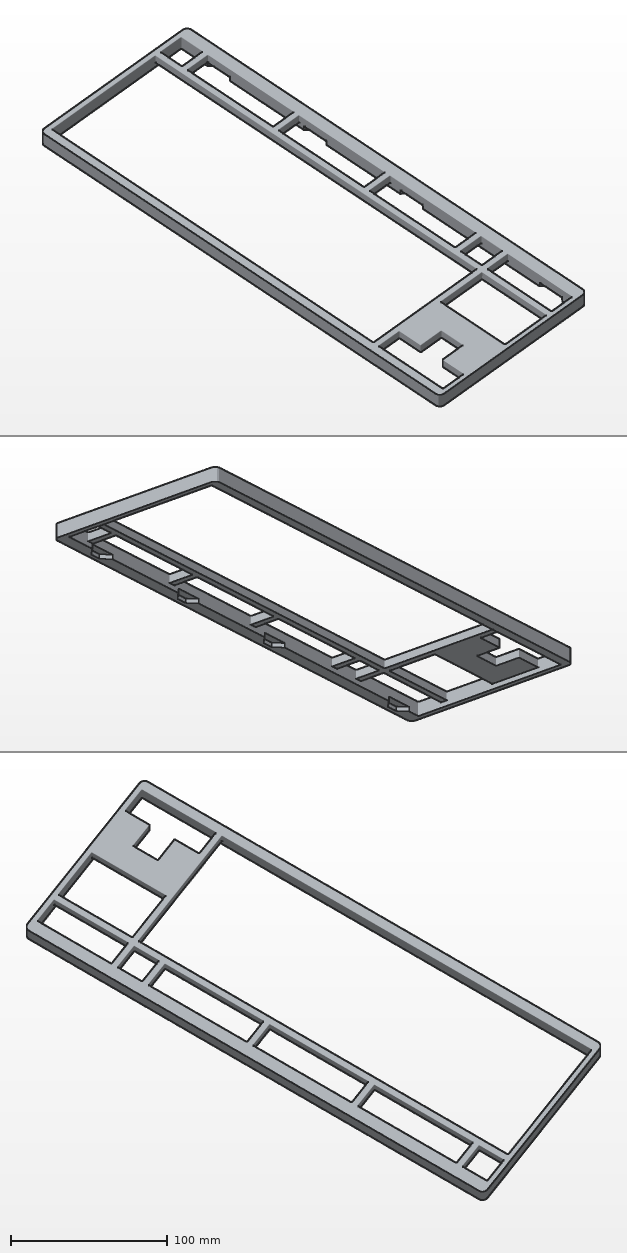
import cadquery as cq

LENGTH = 355.66
WIDTH = 135.38
HEIGHT = 10.4
CORNER_RADIUS = 4.0

KEY = 19.05
BAR = KEY / 4
SIDE_MARGIN = 4.0
FRONT_MARGIN = 6.9
MAIN_COLUMNS = 15
MAIN_ROWS = 5
SIDE_COLUMNS = 3
NAVIGATION_ROWS = 2
FUNCTION_GROUPS = (1, 4, 4, 4, 1, SIDE_COLUMNS)

WINDOW_CORNER_RADIUS = 0.4
TOP_EDGE_RADIUS = 0.5

RECESS_DEPTH = 3.9

NOTCH_LENGTH = 20.0
NOTCH_DEPTH = 6.0
NOTCH_HEIGHT = 3.2
NOTCH_OVERLAP = 1.0
NOTCH_CENTERS_IN_KEYS = (1.75, 6.25, 10.75, 17.25)

GRID_LEFT = SIDE_MARGIN - LENGTH / 2
GRID_FRONT = FRONT_MARGIN - WIDTH / 2
GRID_LENGTH = (MAIN_COLUMNS + SIDE_COLUMNS) * KEY + BAR
GRID_WIDTH = (MAIN_ROWS + 1) * KEY + BAR
GRID_BACK = GRID_FRONT + GRID_WIDTH
FUNCTION_ROW_Y = GRID_FRONT + MAIN_ROWS * KEY + BAR
SIDE_BLOCK_X = GRID_LEFT + MAIN_COLUMNS * KEY + BAR
NAVIGATION_Y = GRID_FRONT + (MAIN_ROWS - NAVIGATION_ROWS) * KEY


def block(x, y, size_x, size_y, height):
    """Box standing on Z = 0 with its left front corner at (x, y)."""
    return cq.Workplane("XY").box(size_x, size_y, height, centered=False).translate((x, y, 0))


def cells(x, y, columns, rows):
    """Full-height block covering a rectangle of key cells."""
    return block(x, y, columns * KEY, rows * KEY, HEIGHT)


def round_corners(body):
    return body.edges("|Z").fillet(WINDOW_CORNER_RADIUS)


def outer_frame():
    plate = cq.Workplane("XY").box(LENGTH, WIDTH, HEIGHT, centered=(True, True, False))
    return plate.edges("|Z").fillet(CORNER_RADIUS)


def function_row_windows():
    windows = []
    x = GRID_LEFT
    for columns in FUNCTION_GROUPS:
        windows.append(cells(x, FUNCTION_ROW_Y, columns, 1))
        x += columns * KEY + BAR
    return windows


def arrow_window():
    """Inverted T: a row of three cells with one more cell above the middle."""
    lower_row = cells(SIDE_BLOCK_X, GRID_FRONT, SIDE_COLUMNS, 1)
    up_key = cells(SIDE_BLOCK_X + KEY, GRID_FRONT, 1, 2)
    return lower_row.union(up_key)


def round_top_edges(body):
    """Round the upper edges of all windows, leaving the outer outline sharp."""
    inside_grid = cq.selectors.BoxSelector(
        (GRID_LEFT - TOP_EDGE_RADIUS, GRID_FRONT - TOP_EDGE_RADIUS, HEIGHT - TOP_EDGE_RADIUS),
        (GRID_LEFT + GRID_LENGTH + TOP_EDGE_RADIUS, GRID_BACK + TOP_EDGE_RADIUS, HEIGHT + TOP_EDGE_RADIUS),
    )
    return body.faces(">Z").edges(inside_grid).fillet(TOP_EDGE_RADIUS)


def underside_recess():
    return round_corners(block(GRID_LEFT, GRID_FRONT, GRID_LENGTH, GRID_WIDTH, RECESS_DEPTH))


def rear_notch(center_x):
    half_mouth = NOTCH_LENGTH / 2
    half_back = half_mouth - NOTCH_DEPTH
    outline = [
        (center_x - half_mouth, GRID_BACK - NOTCH_OVERLAP),
        (center_x - half_mouth, GRID_BACK),
        (center_x - half_back, GRID_BACK + NOTCH_DEPTH),
        (center_x + half_back, GRID_BACK + NOTCH_DEPTH),
        (center_x + half_mouth, GRID_BACK),
        (center_x + half_mouth, GRID_BACK - NOTCH_OVERLAP),
    ]
    return cq.Workplane("XY").polyline(outline).close().extrude(NOTCH_HEIGHT)


main_window = cells(GRID_LEFT, GRID_FRONT, MAIN_COLUMNS, MAIN_ROWS)
navigation_window = cells(SIDE_BLOCK_X, NAVIGATION_Y, SIDE_COLUMNS, NAVIGATION_ROWS)

bezel = outer_frame()
for window in function_row_windows() + [main_window, navigation_window, arrow_window()]:
    bezel = bezel.cut(round_corners(window))
bezel = round_top_edges(bezel)
bezel = bezel.cut(underside_recess())
for center_in_keys in NOTCH_CENTERS_IN_KEYS:
    bezel = bezel.cut(rear_notch(GRID_LEFT + center_in_keys * KEY))

result = bezel